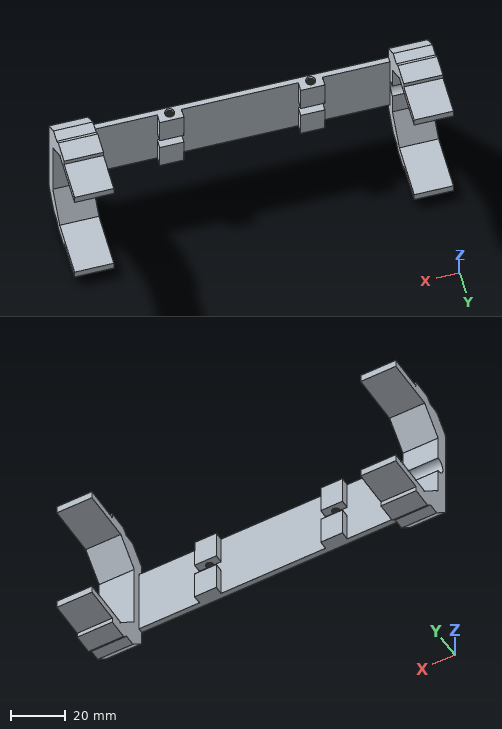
import cadquery as cq

LENGTH = 143.0
DEPTH = 36.2
HEIGHT = 59.0

PLATE_HEIGHT = 29.6
PLATE_THICKNESS = 2.1

BRACKET_WIDTH = 14.9
WALL_THICKNESS = 5.6
ARM_THICKNESS = 3.5
OUTER_CHAMFER = 6.6
INNER_CHAMFER = 9.7

RIDGE_HEIGHT = 2.1
RIDGE_FRONT_Y = 13.3
RIDGE_BACK_Y = 21.5

NOTCH_RADIUS = 3.5

TAB_WIDTH = 9.1
TAB_SPACING = 53.2
TAB_GAP = 4.7

MOUTH_DIAMETER = 3.6
THREAD_MAJOR_DIAMETER = 3.1
THREAD_MINOR_DIAMETER = 2.5
THREAD_PITCH = 0.5
HOLE_Y = 2.5

RIDGE_TOP_Z = HEIGHT / 2
ARM_TOP_Z = RIDGE_TOP_Z - RIDGE_HEIGHT
ARM_BOTTOM_Z = ARM_TOP_Z - ARM_THICKNESS
TAB_HEIGHT = (PLATE_HEIGHT - TAB_GAP) / 2


def make_bracket(x_start):
    """C-shaped bracket, symmetric about Z = 0, opening toward +Y."""
    upper_half = [
        (0, 0),
        (0, ARM_TOP_Z - OUTER_CHAMFER),
        (OUTER_CHAMFER, ARM_TOP_Z),
        (RIDGE_FRONT_Y - RIDGE_HEIGHT, ARM_TOP_Z),
        (RIDGE_FRONT_Y, RIDGE_TOP_Z),
        (RIDGE_BACK_Y, RIDGE_TOP_Z),
        (RIDGE_BACK_Y, ARM_TOP_Z),
        (DEPTH, ARM_TOP_Z),
        (DEPTH, ARM_BOTTOM_Z),
        (WALL_THICKNESS + INNER_CHAMFER, ARM_BOTTOM_Z),
        (WALL_THICKNESS, ARM_BOTTOM_Z - INNER_CHAMFER),
        (WALL_THICKNESS, 0),
    ]
    half = cq.Workplane("YZ", origin=(x_start, 0, 0)).polyline(upper_half).close().extrude(BRACKET_WIDTH)
    return half.union(half.mirror("XY")).clean()


def make_plate():
    return cq.Workplane("XY").box(LENGTH, PLATE_THICKNESS, PLATE_HEIGHT, centered=(True, False, True))


def make_tab_pair(x_center):
    """Two tabs against the plate's upper and lower edges, with a gap between them."""
    tab = (
        cq.Workplane("XY", origin=(x_center, 0, TAB_GAP / 2))
        .box(TAB_WIDTH, WALL_THICKNESS, TAB_HEIGHT, centered=(True, False, False))
    )
    return tab.union(tab.mirror("XY"))


def make_threaded_hole(x_center):
    """Cutter for the threaded hole, running down through the upper tab to the gap."""
    major_radius = THREAD_MAJOR_DIAMETER / 2
    minor_radius = THREAD_MINOR_DIAMETER / 2
    ring_count = round(TAB_HEIGHT / THREAD_PITCH)
    ring_height = TAB_HEIGHT / ring_count

    section = [(0, 0), (minor_radius, 0)]
    for ring in range(ring_count - 1):
        section.append((major_radius, (ring + 0.5) * ring_height))
        section.append((minor_radius, (ring + 1) * ring_height))
    section.append((MOUTH_DIAMETER / 2, TAB_HEIGHT))
    section.append((0, TAB_HEIGHT))
    return (
        cq.Workplane("XZ")
        .polyline(section)
        .close()
        .revolve(360, (0, 0), (0, 1))
        .translate((x_center, HOLE_Y, TAB_GAP / 2))
    )


def make_notch():
    return (
        cq.Workplane("YZ", origin=(-LENGTH / 2, WALL_THICKNESS, 0))
        .circle(NOTCH_RADIUS)
        .extrude(BRACKET_WIDTH)
    )


result = make_plate()
for bracket_x in (-LENGTH / 2, LENGTH / 2 - BRACKET_WIDTH):
    result = result.union(make_bracket(bracket_x))
for tab_x in (-TAB_SPACING / 2, TAB_SPACING / 2):
    result = result.union(make_tab_pair(tab_x))
    result = result.cut(make_threaded_hole(tab_x))
result = result.cut(make_notch())